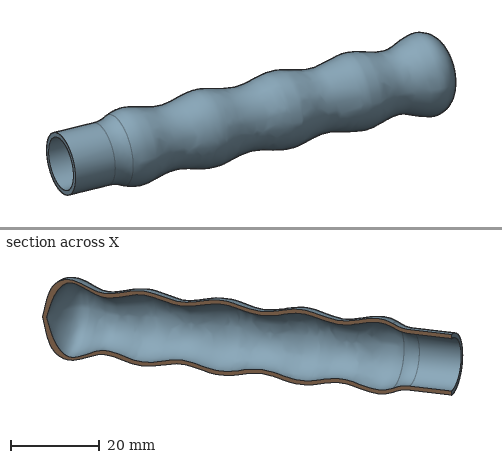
import cadquery as cq

length = 98.0
wall = 1.1
neck_radius = 7.3
neck_length = 10.0

collar_end = 14.0
collar_radius = 8.2
collar_mid_y = 12.3
collar_mid_radius = 7.5

swell_count = 4
swell_pitch = 19.2
first_swell_y = 16.9
swell_radius = 9.0
waist_radius = 7.4

knob_radius = 9.6
knob_y = 92.3
shoulder_radius = 8.1
shoulder_drop = 2.9
crown_radius = 4.5
crown_drop = 1.1


def grip_points(inset):
    """Alternating swells and waists, as (radius, y)."""
    points = []
    for index in range(swell_count):
        swell_y = first_swell_y + index * swell_pitch
        points.append((swell_radius - inset, swell_y))
        points.append((waist_radius - inset, swell_y + swell_pitch / 2))
    return points


def knob_points(inset):
    """Widest point, shoulder, crown and tip of the knob, as (radius, y)."""
    end_y = length - inset
    return [
        (knob_radius - inset, knob_y),
        (shoulder_radius - inset, end_y - shoulder_drop),
        (crown_radius - inset, end_y - crown_drop),
        (0, end_y),
    ]


def revolved_handle(inset):
    """Solid of revolution whose skin lies the given inset inside the outer skin."""
    bore_radius = neck_radius - inset
    collar_middle = (collar_mid_radius - inset, collar_mid_y)
    collar_top = (collar_radius - inset, collar_end)
    return (
        cq.Workplane("XY")
        .lineTo(bore_radius, 0)
        .lineTo(bore_radius, neck_length)
        .threePointArc(collar_middle, collar_top)
        .spline(grip_points(inset) + knob_points(inset), includeCurrent=True)
        .close()
        .revolve(360, (0, 0, 0), (0, 1, 0))
    )


result = revolved_handle(0).cut(revolved_handle(wall))